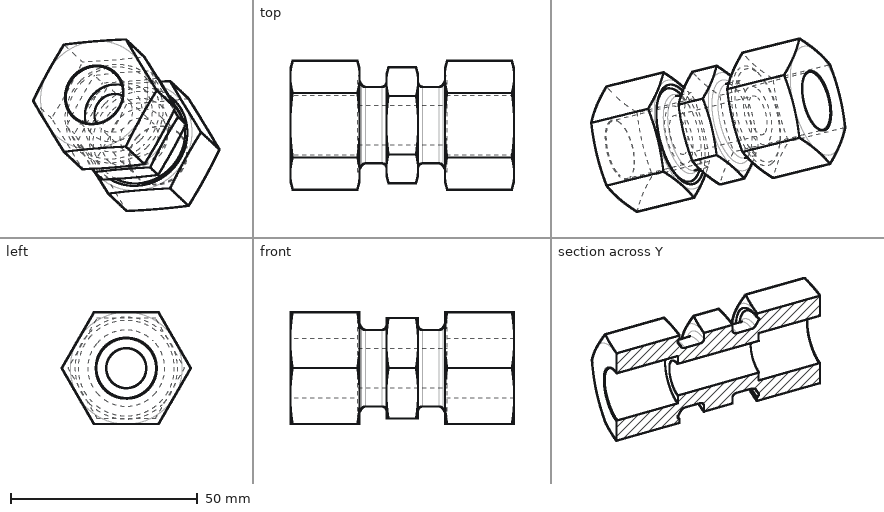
import cadquery as cq
import math

total_length = 60.0
nut_width = 30.0
nut_length = 18.6
body_hex_width = 27.0
body_hex_length = 8.5
corner_chamfer_angle = 15.0

neck_diameter = 20.57
neck_fillet_radius = 1.2
shoulder_angle = 60.0

shoulder_diameter = 25.71
countersink_diameter = 27.43
countersink_angle = 54.0

tube_diameter = 16.0
flow_diameter = 10.67
tube_depth = 18.0
mouth_chamfer = 0.2

half_length = total_length / 2
nut_inner_x = half_length - nut_length
body_hex_half = body_hex_length / 2
neck_radius = neck_diameter / 2
shoulder_radius = shoulder_diameter / 2
countersink_radius = countersink_diameter / 2
countersink_depth = (countersink_radius - shoulder_radius) / math.tan(math.radians(countersink_angle))
shoulder_end_x = nut_inner_x + countersink_depth


def cylinder(diameter, start_x, end_x):
    """Solid cylinder on the X axis."""
    return cq.Workplane("YZ", origin=(start_x, 0, 0)).circle(diameter / 2).extrude(end_x - start_x)


def turned_hexagon(across_flats, start_x, end_x):
    """Hexagonal prism, corners along Y, with both ends turned to a cone starting at the flats."""
    corner_radius = across_flats / math.sqrt(3)
    flat_radius = across_flats / 2
    cone_depth = (corner_radius - flat_radius) * math.tan(math.radians(corner_chamfer_angle))
    prism = (
        cq.Workplane("YZ", origin=(start_x, 0, 0))
        .polygon(6, 2 * corner_radius)
        .extrude(end_x - start_x)
    )
    envelope = (
        cq.Workplane("XY")
        .moveTo(start_x, 0)
        .lineTo(start_x, flat_radius)
        .lineTo(start_x + cone_depth, corner_radius)
        .lineTo(end_x - cone_depth, corner_radius)
        .lineTo(end_x, flat_radius)
        .lineTo(end_x, 0)
        .close()
        .revolve(360, (0, 0, 0), (1, 0, 0))
    )
    return prism.intersect(envelope)


def cone(start_x, start_radius, end_x, end_radius):
    """Solid truncated cone on the X axis."""
    return (
        cq.Workplane("XY")
        .moveTo(start_x, 0)
        .lineTo(start_x, start_radius)
        .lineTo(end_x, end_radius)
        .lineTo(end_x, 0)
        .close()
        .revolve(360, (0, 0, 0), (1, 0, 0))
    )


def nut():
    """Nut on the +X side, with the countersink in its inner face."""
    hexagon = turned_hexagon(nut_width, nut_inner_x, half_length)
    return hexagon.cut(cone(nut_inner_x, countersink_radius, shoulder_end_x, shoulder_radius))


def neck():
    """Neck on the +X side: fillet off the central hexagon, cylinder, fillet and cone into the nut."""
    radius = neck_fillet_radius
    fillet_centre_radius = neck_radius + radius
    slope = math.radians(shoulder_angle)

    cone_start_radius = fillet_centre_radius - radius * math.cos(slope)
    cone_start_x = shoulder_end_x - (shoulder_radius - cone_start_radius) / math.tan(slope)
    shoulder_centre_x = cone_start_x - radius * math.sin(slope)
    shoulder_fillet_mid = (
        shoulder_centre_x + radius * math.sin(slope / 2),
        fillet_centre_radius - radius * math.cos(slope / 2),
    )

    hexagon_centre_x = body_hex_half + radius
    hexagon_fillet_mid = (
        hexagon_centre_x - radius * math.sqrt(0.5),
        fillet_centre_radius - radius * math.sqrt(0.5),
    )
    return (
        cq.Workplane("XY")
        .lineTo(0, fillet_centre_radius)
        .lineTo(body_hex_half, fillet_centre_radius)
        .threePointArc(hexagon_fillet_mid, (hexagon_centre_x, neck_radius))
        .lineTo(shoulder_centre_x, neck_radius)
        .threePointArc(shoulder_fillet_mid, (cone_start_x, cone_start_radius))
        .lineTo(shoulder_end_x, shoulder_radius)
        .lineTo(shoulder_end_x, 0)
        .close()
        .revolve(360, (0, 0, 0), (1, 0, 0))
    )


def bores():
    """Through passage with a chamfered tube socket at each end."""
    passage = cylinder(flow_diameter, -half_length, half_length)
    socket = cylinder(tube_diameter, half_length - tube_depth, half_length)
    tube_radius = tube_diameter / 2
    mouth = cone(half_length - mouth_chamfer, tube_radius, half_length, tube_radius + mouth_chamfer)
    end_bore = socket.union(mouth)
    return passage.union(end_bore).union(end_bore.mirror("YZ"))


half_body = nut().union(neck())
central_hexagon = turned_hexagon(body_hex_width, -body_hex_half, body_hex_half)
result = central_hexagon.union(half_body).union(half_body.mirror("YZ")).cut(bores())